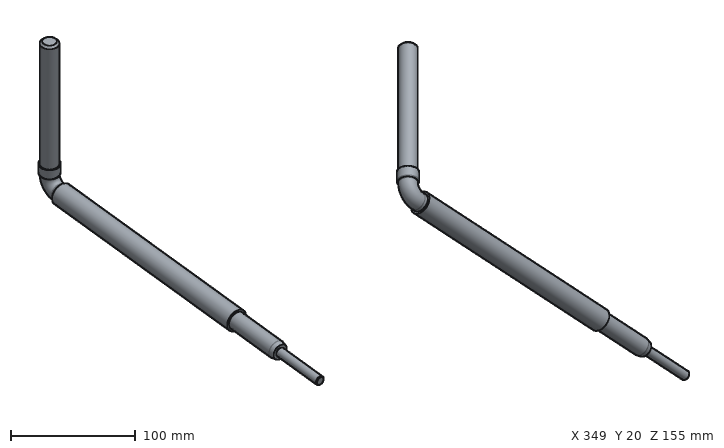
import cadquery as cq

overall_length = 349.0
overall_height = 155.0

tube_diameter = 16.0
sleeve_diameter = 20.0
collar_diameter = 18.0
tip_diameter = 8.5
nose_end_diameter = 14.0

bend_radius = 11.5
elbow_stub_length = 3.5
sleeve_length = 220.0
tube_length = 50.0
nose_length = 5.0
tip_chamfer = 0.7

neck_length = 0.7
collar_length = 9.8
collar_fillet = 0.98
grip_chamfer = 2.0

sleeve_start = bend_radius + elbow_stub_length
sleeve_end = sleeve_start + sleeve_length
nose_start = sleeve_end + tube_length
nose_end = nose_start + nose_length
tip_end = overall_length - collar_diameter / 2

grip_bottom = bend_radius + neck_length
grip_top = overall_height - sleeve_diameter / 2


def make_elbow():
    """Round bar from the neck under the grip, through a quarter bend, to the sleeve."""
    path = (
        cq.Workplane("XZ")
        .moveTo(0, grip_bottom)
        .lineTo(0, bend_radius)
        .radiusArc((bend_radius, 0), -bend_radius)
        .lineTo(sleeve_start, 0)
    )
    return (
        cq.Workplane("XY", origin=(0, 0, grip_bottom))
        .circle(tube_diameter / 2)
        .sweep(path)
    )


def make_straight_arm():
    """Sleeve, stepped tube, tapered nose and tip, turned about the X axis."""
    return (
        cq.Workplane("XZ")
        .moveTo(sleeve_start, 0)
        .lineTo(sleeve_start, sleeve_diameter / 2)
        .lineTo(sleeve_end, sleeve_diameter / 2)
        .lineTo(sleeve_end, tube_diameter / 2)
        .lineTo(nose_start, tube_diameter / 2)
        .lineTo(nose_end, nose_end_diameter / 2)
        .lineTo(nose_end, tip_diameter / 2)
        .lineTo(tip_end - tip_chamfer, tip_diameter / 2)
        .lineTo(tip_end, tip_diameter / 2 - tip_chamfer)
        .lineTo(tip_end, 0)
        .close()
        .revolve(360, (0, 0, 0), (1, 0, 0))
    )


def make_arm():
    """Bent arm that carries the grip: the elbow and the straight arm in one piece."""
    return make_straight_arm().union(make_elbow())


def make_grip():
    """Upright grip standing on the elbow, with a rounded collar below and a chamfered top."""
    collar = (
        cq.Workplane("XY", origin=(0, 0, grip_bottom))
        .circle(collar_diameter / 2)
        .extrude(collar_length)
        .faces("<Z")
        .edges()
        .fillet(collar_fillet)
    )
    handle = (
        cq.Workplane("XY", origin=(0, 0, grip_bottom))
        .circle(tube_diameter / 2)
        .extrude(grip_top - grip_bottom)
        .faces(">Z")
        .chamfer(grip_chamfer)
    )
    return handle.union(collar)


arm = make_arm()
grip = make_grip()

result = cq.Compound.makeCompound([arm.val(), grip.val()])